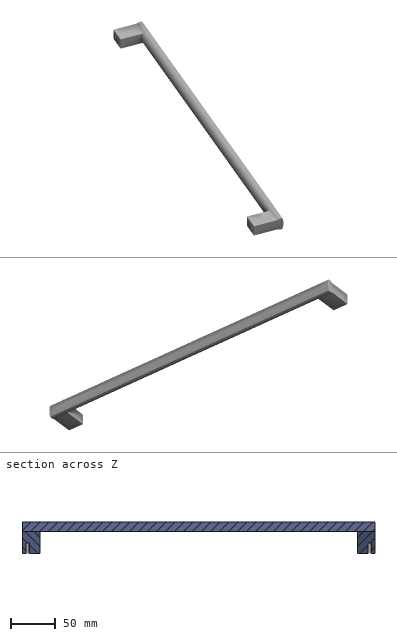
import cadquery as cq

length = 396.0
depth = 36.0

bar_radius = 8.0
bar_thickness = 11.0
crown_height = 1.0
crown_edge_z = 7.5

leg_width = 19.8
leg_height = 13.0
hole_diameter = 3.0
hole_depth = 12.0
hole_end_distance = 6.0

bar_front_y = depth - bar_thickness
bar_axis_y = bar_front_y + bar_radius
crown_edge_y = depth - crown_height


def make_bar():
    """Constant-section grip bar, centred on X = 0."""
    return (
        cq.Workplane("YZ", origin=(-length / 2, 0, 0))
        .moveTo(crown_edge_y, crown_edge_z)
        .lineTo(bar_axis_y, bar_radius)
        .threePointArc((bar_front_y, 0), (bar_axis_y, -bar_radius))
        .lineTo(crown_edge_y, -crown_edge_z)
        .threePointArc((depth, 0), (crown_edge_y, crown_edge_z))
        .close()
        .extrude(length)
    )


def make_leg(side, bar):
    """Rectangular leg at one end (side is -1 or 1), with a saddle that fits the bar."""
    leg_x = side * (length - leg_width) / 2
    hole_x = side * (length / 2 - hole_end_distance)
    block = (
        cq.Workplane("XY")
        .box(leg_width, bar_axis_y, leg_height, centered=(True, False, True))
        .translate((leg_x, 0, 0))
    )
    hole = (
        cq.Workplane("XZ", origin=(hole_x, 0, 0))
        .circle(hole_diameter / 2)
        .extrude(-hole_depth)
    )
    return block.cut(bar).cut(hole)


bar = make_bar()
legs = [make_leg(side, bar) for side in (-1, 1)]

result = cq.Compound.makeCompound([bar.val(), *[leg.val() for leg in legs]])